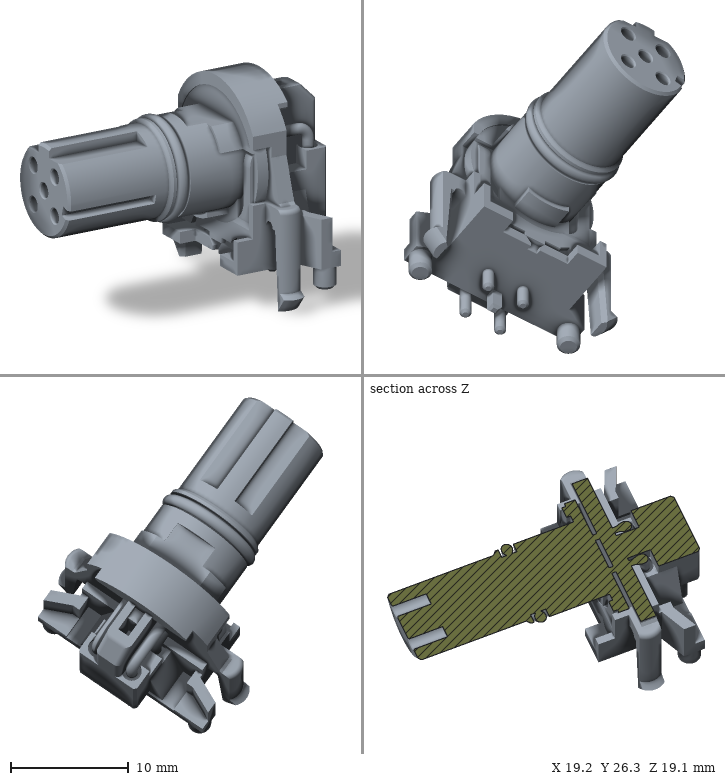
import cadquery as cq


barrel_radius = 4.15
barrel_edge = 0.24
shoulder_front = 9.9
shoulder_radius = 4.47
shoulder_bevel = shoulder_radius - barrel_radius
groove_front = 10.52
groove_back = 11.88
groove_radius = 3.79
seal_section_radius = 0.5
seal_ring_radius = 4.2
contact_pitch = 3.52
socket_radius = 0.65
socket_bevel = 0.1
socket_depth = 3.15
keyway_length = 8.68
key_half_width = 0.9
keyway_floor = 3.15
coding_notch_radius = 3.23
coding_notch_width = 0.92
coding_notch_angle = -16

flat_height = 3.95
flat_front = 13.01
flat_half_width = 1.95
collar_front = 14.9
collar_radius = 4.8
collar_bottom = 2.0
lower_key_half_width = 2.05
lower_key_radius = 4.97
disc_radius = 6.25
disc_front = 17.45
disc_back = 18.48
disc_top_front = 17.1

body_half_width = 6.23
hood_front = 16.98
hood_back = 20.3
hood_radius = 7.07
hood_axis_height = 0.32
hood_skirt_height = 2.45
wall_front = 18.82
wall_skirt_height = 1.45
skirt_half_width = 7.55
skirt_flare = 0.2
lip_back = 21.3
lip_half_width = 4.73
lip_bottom = 4.92
lip_bevel = 0.2

base_bottom = -8.57
floor_top = -7.52
floor_front = 15.45
step_height = -5.57
base_top = -2.55
base_mid_back = 21.03
base_back = 24.3
channel_half_width = 5.57
floor_gap_half_width = 3.29
floor_gap_back = 16.98
vee_half_width = 1.0
slot_half_width = 0.47
vee_bottom = -8.15

plate_top = 1.58
plate_opening_half_width = 4.5
plate_opening_radius = 5.68
plate_ramp_top = -4.42
plate_ramp_bottom = -4.97
plate_foot_front = hood_front
plate_front = 17.1
post_ridge = 17.3
post_mid = 17.15
post_curve_bottom = 0.58
opening_corner_radius = 2.1
boss_half_width = 3.5
boss_front = 17.05
plate_gaps = ((vee_half_width, 2.58, -7.0), (4.05, channel_half_width, -7.2))
tab_front = 17.4
tab_thickness = 0.53
tab_peak = (3.52, -6.25)
tab_inner_shoulder = -6.85
tab_outer_shoulder = -7.2

arm_front = 18.27
arm_back = hood_back
arm_reach = 8.95
arm_bulge = 0.4
arch_top = -4.02
arch_radius = 0.53
leg_bevel = 0.4
leg_inner_top = 7.33
leg_inner_bottom = 7.83
hook_reach = 9.6
hook_top = -10.02
hook_tip = -10.4
arm_bottom = -11.7
hook_foot = 8.55

wing_reach = 8.55
wing_top = -4.07
wing_front = 22.37
wing_root_front = 21.32
wing_thickness = 1.08
ledge_top = -7.15
peg_radius = 1.0
peg_y = 23.3
foot_bottom = -10.57
foot_bevel = 0.3

rear = 26.3
carrier_half_width = 3.0
carrier_bottom = -6.75
carrier_corner = 0.24
rib_half_width = 1.24
rib_top = 5.47
rib_slope = 1.5
rib_rounding = 0.45
carrier_steps = ((rear, 0.13), (24.2, -1.52), (wing_front, -3.3))
flank_half_width = 4.25
flank_back = 24.1
well_radius = 0.85
well_depth = 0.4
pocket_half_width = 0.53
pocket_front = 22.37
pocket_back = 23.82
pocket_floor = 0
channel_depth = 0.8

pin_radius = 0.5
pin_bevel = 0.24
centre_pin_width = 0.92
bend_radius = 1.03
upper_pin_y = 25.08
lower_pin_y = 21.55


def box(x_min, x_max, y_min, y_max, z_min, z_max):
    """Box between the given limits."""
    size = (x_max - x_min, y_max - y_min, z_max - z_min)
    return cq.Workplane("XY").box(*size, centered=False).translate((x_min, y_min, z_min))


def disc(radius, y_min, y_max, height=0):
    """Cylinder along Y, with its axis at the given height."""
    return cq.Workplane("XZ", origin=(0, y_min, height)).circle(radius).extrude(y_min - y_max)


def front_prism(points, y_min, y_max):
    """Outline in X and Z, extended along Y."""
    return cq.Workplane("XZ", origin=(0, y_min, 0)).polyline(points).close().extrude(y_min - y_max)


def floor_prism(points, z_min, z_max):
    """Outline in X and Y, extended along Z."""
    return cq.Workplane("XY", origin=(0, 0, z_min)).polyline(points).close().extrude(z_max - z_min)


def both_sides(shape):
    """Shape together with its mirror image across the YZ plane."""
    return shape.union(shape.mirror("YZ"))


def make_barrel():
    """Round plug with its seal, keyways and top flat."""
    profile = [
        (0, 0),
        (barrel_radius - barrel_edge, 0),
        (barrel_radius, barrel_edge),
        (barrel_radius, shoulder_front),
        (shoulder_radius, shoulder_front + shoulder_bevel),
        (shoulder_radius, groove_front),
        (groove_radius, groove_front),
        (groove_radius, groove_back),
        (shoulder_radius, groove_back),
        (shoulder_radius, disc_back),
        (0, disc_back),
    ]
    barrel = cq.Workplane("XY").polyline(profile).close().revolve(360, (0, 0, 0), (0, 1, 0))
    seal_y = (groove_front + groove_back) / 2
    seal = (
        cq.Workplane("XY")
        .center(seal_ring_radius, seal_y)
        .circle(seal_section_radius)
        .revolve(360, (-seal_ring_radius, 0, 0), (-seal_ring_radius, 1, 0))
    )
    barrel = barrel.union(seal)

    barrel = barrel.cut(both_sides(
        box(key_half_width, barrel_radius, 0, keyway_length, keyway_floor, barrel_radius)
    ))
    notch = box(coding_notch_radius, shoulder_radius, 0, keyway_length,
                -coding_notch_width / 2, coding_notch_width / 2)
    barrel = barrel.cut(notch.rotate((0, 0, 0), (0, 1, 0), -coding_notch_angle))

    barrel = barrel.cut(box(-flat_half_width, flat_half_width, flat_front, collar_front,
                            flat_height, shoulder_radius))
    return barrel.cut(box(-shoulder_radius, shoulder_radius, collar_front, disc_back,
                          flat_height, shoulder_radius))


def cut_sockets(body):
    """Four contact holes on a square and one in the middle, open at the mating face."""
    half_pitch = contact_pitch / 2
    corners = [(x, z) for x in (-half_pitch, half_pitch) for z in (-half_pitch, half_pitch)]
    for x, z in corners + [(0, 0)]:
        socket = disc(socket_radius, 0, socket_depth)
        mouth = cq.Workplane("XY").add(cq.Solid.makeCone(
            socket_radius + socket_bevel, socket_radius, socket_bevel, dir=cq.Vector(0, 1, 0)))
        body = body.cut(socket.union(mouth).translate((x, 0, z)))
    return body


def make_collar():
    """Collar behind the barrel and the disc that carries it."""
    upper = disc(collar_radius, collar_front, disc_front).intersect(
        box(-shoulder_radius, shoulder_radius, collar_front, disc_front, collar_bottom, flat_height))
    lower_key = disc(lower_key_radius, collar_front, disc_front).intersect(
        box(-lower_key_half_width, lower_key_half_width, collar_front, disc_front,
            -lower_key_radius, 0))
    flange = disc(disc_radius, disc_front, disc_back)
    flange_top = disc(disc_radius, disc_top_front, disc_front).intersect(
        box(-disc_radius, disc_radius, disc_top_front, disc_front, collar_bottom, disc_radius))
    return upper.union(lower_key).union(flange).union(flange_top)


def make_hood():
    """Dome over the disc, with the wall behind it and a lip at the rear."""
    dome = disc(hood_radius, hood_front, lip_back, hood_axis_height)
    crown = hood_axis_height + hood_radius
    front = dome.intersect(box(-body_half_width, body_half_width, hood_front, wall_front,
                               hood_skirt_height, crown))
    front = front.cut(disc(disc_radius, hood_front, disc_top_front))
    wall = dome.intersect(box(-body_half_width, body_half_width, wall_front, hood_back,
                              wall_skirt_height, crown))
    lip = dome.intersect(box(-lip_half_width, lip_half_width, hood_back, lip_back,
                             lip_bottom, crown))
    lip = lip.faces("<Z").edges("|Y").chamfer(lip_bevel)
    lean = (skirt_half_width - body_half_width) / (wall_skirt_height - base_top)
    flare_half_width = skirt_half_width - lean * skirt_flare
    skirt = front_prism([
        (-body_half_width, wall_skirt_height),
        (body_half_width, wall_skirt_height),
        (flare_half_width, base_top + skirt_flare),
        (skirt_half_width + skirt_flare, base_top),
        (-skirt_half_width - skirt_flare, base_top),
        (-flare_half_width, base_top + skirt_flare),
    ], wall_front, hood_back)
    return front.union(wall).union(lip).union(skirt)


def make_base():
    """Channel-shaped base with stepped side walls."""
    base = box(-body_half_width, body_half_width, floor_front, base_back, base_bottom, floor_top)
    base = base.union(box(-body_half_width, body_half_width, wall_front, base_mid_back,
                          floor_top, base_top))
    side_wall = box(channel_half_width, body_half_width, floor_front, hood_front,
                    floor_top, step_height)
    side_wall = side_wall.union(box(channel_half_width, body_half_width, hood_front, wall_front,
                                    floor_top, base_top))
    base = base.union(both_sides(side_wall))
    return base.cut(box(-floor_gap_half_width, floor_gap_half_width, floor_front, floor_gap_back,
                        base_bottom, floor_top))


def cut_floor_vee(body):
    """Notch through the floor whose slanted mouth narrows to a plain slot."""
    vee = [(-vee_half_width, floor_top), (vee_half_width, floor_top),
           (slot_half_width, vee_bottom), (slot_half_width, base_bottom),
           (-slot_half_width, base_bottom), (-slot_half_width, vee_bottom)]
    return body.cut(front_prism(vee, floor_gap_back, disc_front))


def make_plate():
    """Upright plate with two posts beside a round-bottomed opening."""
    plate = (
        cq.Workplane("YZ", origin=(-channel_half_width, 0, 0))
        .moveTo(disc_front, floor_top)
        .lineTo(disc_front, plate_top)
        .lineTo(post_ridge, plate_top)
        .threePointArc((post_mid, (plate_top + post_curve_bottom) / 2), (plate_front, post_curve_bottom))
        .lineTo(plate_front, plate_ramp_top)
        .lineTo(plate_foot_front, plate_ramp_bottom)
        .lineTo(plate_foot_front, floor_top)
        .close()
        .extrude(2 * channel_half_width)
    )
    opening = disc(plate_opening_radius, plate_foot_front, disc_front).intersect(
        box(-plate_opening_half_width, plate_opening_half_width, plate_foot_front, disc_front,
            -plate_opening_radius, 0))
    opening = opening.edges("|Y").edges("<Z").fillet(opening_corner_radius)
    opening = opening.union(box(-plate_opening_half_width, plate_opening_half_width,
                                plate_foot_front, disc_front, 0, plate_top))
    boss = disc(plate_opening_radius, boss_front, disc_front).intersect(
        box(-boss_half_width, boss_half_width, boss_front, disc_front, -plate_opening_radius, 0))
    plate = plate.cut(opening).union(boss)
    for inner, outer, top in plate_gaps:
        plate = plate.cut(both_sides(
            box(inner, outer, plate_foot_front, disc_front, floor_top, top)))
    return plate


def add_plate_tabs(body):
    """Set a tab that stands on the floor back into the lower edge of the plate, on each side."""
    inner = plate_gaps[0][1]
    outer = plate_gaps[1][0]
    outline = [(outer, floor_top), (outer, tab_outer_shoulder), tab_peak,
               (inner, tab_inner_shoulder), (inner, floor_top)]
    body = body.cut(both_sides(front_prism(outline, plate_foot_front, tab_front)))
    return body.union(both_sides(front_prism(outline, tab_front, tab_front + tab_thickness)))


def bulged_bar(top_reach, top, bottom_reach, bottom):
    """Bar whose outer end bulges to a reach that changes evenly from top to bottom."""
    section = (
        cq.Workplane("XY", origin=(0, 0, top))
        .moveTo(0, arm_front)
        .lineTo(top_reach - arm_bulge, arm_front)
        .threePointArc((top_reach, (arm_front + arm_back) / 2), (top_reach - arm_bulge, arm_back))
        .lineTo(0, arm_back)
        .close()
        .wires()
        .val()
    )
    lean = cq.Vector(bottom_reach - top_reach, 0, bottom - top)
    return cq.Workplane("XY").add(cq.Solid.extrudeLinear(section, [], lean))


def make_arms():
    """Latch arms that hang from the base and end in hooks."""
    leg = bulged_bar(arm_reach, base_top, arm_reach, hook_top)
    leg = leg.faces(">Z").edges(">X").fillet(arm_bulge)
    hook_shoulder = bulged_bar(arm_reach, hook_top, hook_reach, hook_tip)
    hook_ramp = bulged_bar(hook_reach, hook_tip, hook_foot, arm_bottom)
    arm = leg.union(hook_shoulder).union(hook_ramp)
    arm = arm.intersect(box(body_half_width, hook_reach, arm_front, arm_back, arm_bottom, base_top))

    arch = (
        cq.Workplane("XZ", origin=(0, arm_front, 0))
        .moveTo(body_half_width, arm_bottom)
        .lineTo(leg_inner_bottom, arm_bottom)
        .lineTo(leg_inner_top, arch_top - arch_radius)
        .radiusArc((leg_inner_top - arch_radius, arch_top), -arch_radius)
        .lineTo(body_half_width + arch_radius, arch_top)
        .radiusArc((body_half_width, arch_top - arch_radius), -arch_radius)
        .close()
        .extrude(arm_front - arm_back)
    )
    bevel = (
        cq.Workplane("XY", origin=(leg_inner_bottom, 0, arm_bottom))
        .polyline([(0, arm_front), (leg_bevel, arm_front), (0, arm_front + leg_bevel)])
        .close()
        .wires()
        .val()
    )
    lean = cq.Vector(leg_inner_top - leg_inner_bottom, 0, arch_top - arch_radius - arm_bottom)
    leg_edge = cq.Workplane("XY").add(cq.Solid.extrudeLinear(bevel, [], lean))
    return both_sides(arm.cut(arch).cut(leg_edge))


def make_wing():
    """Swept wing with a low ledge behind it and a locating peg below."""
    strip = floor_prism([
        (channel_half_width, wing_root_front),
        (body_half_width, wing_root_front),
        (wing_reach, wing_front),
        (wing_reach, wing_front + wing_thickness),
        (body_half_width, wing_root_front + wing_thickness),
        (channel_half_width, wing_root_front + wing_thickness),
    ], base_bottom, wing_top)
    root = box(channel_half_width, body_half_width, base_mid_back,
               wing_root_front, base_bottom, wing_top)
    ledge = floor_prism([
        (channel_half_width, wing_root_front + wing_thickness),
        (body_half_width, wing_root_front + wing_thickness),
        (wing_reach, wing_front + wing_thickness),
        (wing_reach, base_back),
        (channel_half_width, base_back),
    ], base_bottom, ledge_top)
    peg = (
        cq.Workplane("XY", origin=(wing_reach - peg_radius, peg_y, foot_bottom))
        .circle(peg_radius)
        .extrude(base_bottom - foot_bottom)
        .faces("<Z")
        .chamfer(foot_bevel)
    )
    return strip.union(root).union(ledge).union(peg)


def make_carrier():
    """Stepped block behind the hood, with a tall central rib and pin wells."""
    outline = [(base_mid_back, carrier_bottom), (rear, carrier_bottom), (rear, carrier_steps[0][1])]
    for (y, _), (_, upper), (_, lower) in zip(carrier_steps[1:], carrier_steps, carrier_steps[1:]):
        outline += [(y, upper), (y, lower)]
    outline += [(base_mid_back, carrier_steps[-1][1])]
    carrier = (
        cq.Workplane("YZ", origin=(-carrier_half_width, 0, 0))
        .polyline(outline)
        .close()
        .extrude(2 * carrier_half_width)
        .faces(">Y")
        .edges("|Z")
        .chamfer(carrier_corner)
    )
    flanks = front_prism([
        (-carrier_half_width, carrier_steps[-1][1]),
        (carrier_half_width, carrier_steps[-1][1]),
        (flank_half_width, floor_top),
        (-flank_half_width, floor_top),
    ], base_mid_back, flank_back)
    carrier = carrier.union(flanks)
    for x in (-contact_pitch / 2, contact_pitch / 2):
        for y, z in ((upper_pin_y, carrier_steps[0][1]), (lower_pin_y, carrier_steps[-1][1])):
            carrier = carrier.cut(
                cq.Workplane("XY", origin=(x, y, z)).circle(well_radius).extrude(-well_depth))
    rib = (
        cq.Workplane("YZ", origin=(-rib_half_width, 0, 0))
        .polyline([(hood_back, carrier_bottom), (rear, carrier_bottom), (rear, rib_top - rib_slope),
                   (rear - rib_slope, rib_top), (hood_back, rib_top)])
        .close()
        .extrude(2 * rib_half_width)
    )
    slope_edges = rib.faces(">(0,1,1)").edges("not(|X and <Z)")
    rib = rib.faces(">Y").edges("|Z").add(slope_edges).fillet(rib_rounding)
    rib = rib.cut(box(-pocket_half_width, pocket_half_width, lip_back, pocket_front,
                      rib_top - channel_depth, rib_top))
    rib = rib.cut(box(-pocket_half_width, pocket_half_width, pocket_front, pocket_back,
                      pocket_floor, rib_top))
    return carrier.union(rib)


def start_pin(x, z):
    """Plane on the disc from which a pin runs back."""
    return cq.Workplane("XZ", origin=(x, disc_front, z))


def bend_pin(section, x, y, z):
    """Pin of the given section, running back at height z and bent down at depth y."""
    path = (
        cq.Workplane("YZ", origin=(x, 0, 0))
        .moveTo(disc_front, z)
        .lineTo(y - bend_radius, z)
        .radiusArc((y, z - bend_radius), bend_radius)
        .lineTo(y, foot_bottom)
    )
    return section.sweep(path).faces("<Z").chamfer(pin_bevel)


def make_pins():
    """Centre pin and two rows of round pins."""
    half_pitch = contact_pitch / 2
    centre_section = start_pin(0, 0).rect(centre_pin_width, centre_pin_width)
    pins = bend_pin(centre_section, 0, peg_y, 0)
    for x in (-half_pitch, half_pitch):
        for y, z in ((upper_pin_y, half_pitch), (lower_pin_y, -half_pitch)):
            pins = pins.union(bend_pin(start_pin(x, z).circle(pin_radius), x, y, z))
    return pins


housing = make_hood().union(make_base()).union(make_arms()).union(both_sides(make_wing()))
housing = cut_floor_vee(housing.union(add_plate_tabs(make_plate())))
plug = cut_sockets(make_barrel().union(make_collar()))
result = housing.union(make_carrier()).union(plug).union(make_pins())